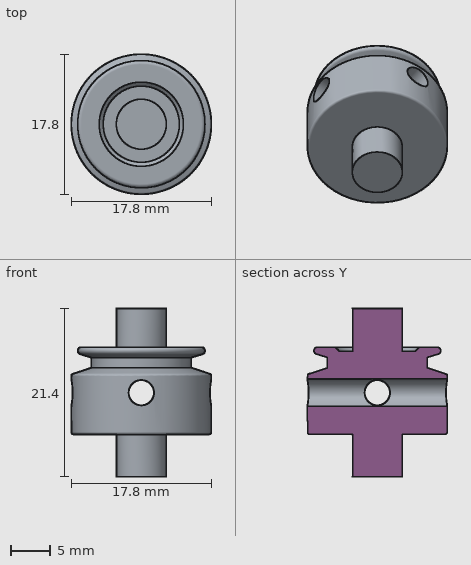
import cadquery as cq
import math

shaft_length = 21.35
shaft_radius = 6.35 / 2

body_radius = 17.77 / 2
body_bottom = 5.38
body_round = 0.32
groove_radius = 12.7 / 2
groove_bottom = 13.86
groove_top = 15.12
cone_slope = math.radians(18.5)
flange_radius = 8.07
flange_top = 16.47
flange_round = 0.47

recess_radius = 5.35
recess_depth = 0.51
recess_floor_radius = recess_radius - recess_depth

hole_height = shaft_length / 2
hole_diameter_y = 3.18
hole_diameter_x = 3.42
cut_overshoot = 0.21


def make_collar():
    """Revolved collar with a V-flanked groove, rounded flange rim and top recess."""
    shoulder_z = groove_bottom - (body_radius - groove_radius) * math.tan(cone_slope)

    rim_r = flange_radius - flange_round
    rim_z = flange_top - flange_round
    tangent_r = rim_r + flange_round * math.sin(cone_slope)
    tangent_z = rim_z - flange_round * math.cos(cone_slope)

    profile = (
        cq.Workplane("XZ")
        .moveTo(0, body_bottom)
        .lineTo(body_radius, body_bottom)
        .lineTo(body_radius, shoulder_z)
        .lineTo(groove_radius, groove_bottom)
        .lineTo(groove_radius, groove_top)
        .lineTo(tangent_r, tangent_z)
        .threePointArc((flange_radius, rim_z), (rim_r, flange_top))
        .lineTo(recess_radius, flange_top)
        .lineTo(recess_floor_radius, flange_top - recess_depth)
        .lineTo(0, flange_top - recess_depth)
        .close()
    )
    collar = profile.revolve(360, (0, 0, 0), (0, 1, 0))
    body_edges = cq.selectors.RadiusNthSelector(-1)
    return collar.edges("%CIRCLE").edges(body_edges).fillet(body_round)


def make_cross_hole(plane, diameter):
    """Cutter running right through the collar and shaft, normal to the plane."""
    return (
        cq.Workplane(plane)
        .center(0, hole_height)
        .circle(diameter / 2)
        .extrude(body_radius + cut_overshoot, both=True)
    )


shaft = cq.Workplane("XY").circle(shaft_radius).extrude(shaft_length)
result = make_collar().union(shaft)
for hole_plane, hole_diameter in (("XZ", hole_diameter_y), ("YZ", hole_diameter_x)):
    result = result.cut(make_cross_hole(hole_plane, hole_diameter))